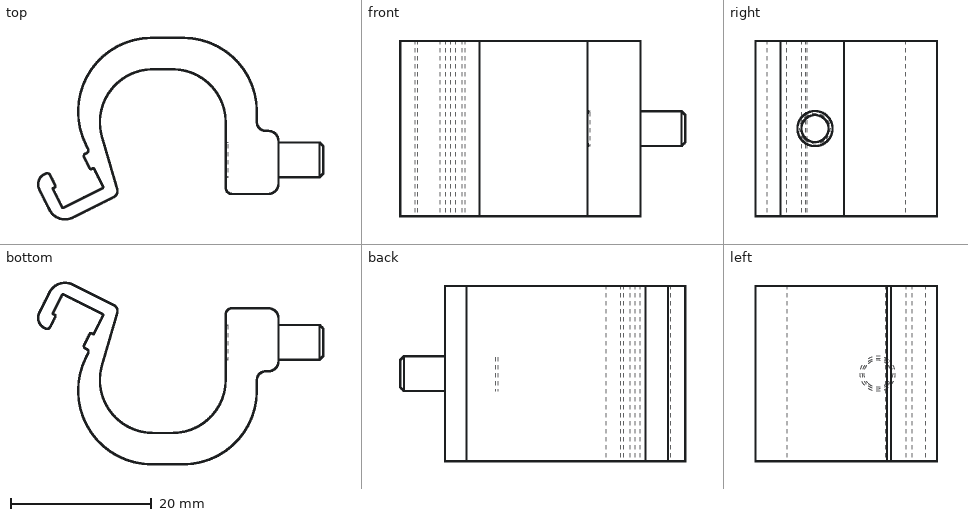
import cadquery as cq
import math

height = 25.0
inner_radius = 7.5
inner_flat_half = 1.42
inner_wall_x = inner_flat_half + inner_radius
outer_radius = 10.52
outer_left_center_x = -1.55
outer_right_center_x = 2.9
outer_top_y = 12.02
outer_center_y = outer_top_y - outer_radius
outer_right_x = outer_right_center_x + outer_radius
leg_angle = math.radians(16.3)

block_right_x = 16.5
block_top_y = -1.2
block_bottom_y = -10.25
block_fillet = 1.5
block_inner_fillet = 0.95
block_root_fillet = 1.2

channel_angle = math.radians(26.6)
channel_x = -14.25
channel_y = -12.23
channel_width = 6.5
floor_thickness = 1.85
arm_thickness = 1.8
lip_depth = 0.53
lip_start_v = 3.13
lip_top_v = 5.5
channel_corner_fillet = 2.48
leg_corner_fillet = 0.97
tip_outer_fillet = 1.62
tip_inner_fillet = 0.5
catch_fillet = 0.35
small_fillet = 0.15

pin_diameter = 5.0
pin_y = -5.35
pin_end_x = 22.85
pin_chamfer = 0.55
ring_groove_size = 0.32


def channel_point(u, v):
    """Convert channel coordinates to the XY plane."""
    x = channel_x + u * math.cos(channel_angle) - v * math.sin(channel_angle)
    y = channel_y + u * math.sin(channel_angle) + v * math.cos(channel_angle)
    return x, y


def on_circle(center_x, center_y, radius, angle):
    return center_x + radius * math.cos(angle), center_y + radius * math.sin(angle)


leg_start = on_circle(-inner_flat_half, 0, inner_radius, math.pi + leg_angle)
inner_left_mid = on_circle(-inner_flat_half, 0, inner_radius, (1.5 * math.pi + leg_angle) / 2)
inner_right_mid = on_circle(inner_flat_half, 0, inner_radius, math.pi / 4)
outer_right_mid = on_circle(outer_right_center_x, outer_center_y, outer_radius, math.pi / 4)

floor_left = channel_point(0, -floor_thickness)
floor_slope = math.tan(channel_angle)
leg_slope = -1 / math.tan(leg_angle)
leg_corner_x = (
    floor_left[1] - leg_start[1] + leg_slope * leg_start[0] - floor_slope * floor_left[0]
) / (leg_slope - floor_slope)
leg_corner = (leg_corner_x, leg_start[1] + leg_slope * (leg_corner_x - leg_start[0]))

offset_x = outer_left_center_x - channel_x
offset_y = outer_center_y - channel_y
center_u = offset_x * math.cos(channel_angle) + offset_y * math.sin(channel_angle)
catch_root = channel_point(center_u - outer_radius, lip_top_v)
outer_left_end = on_circle(outer_left_center_x, outer_center_y, outer_radius, math.pi + channel_angle)
outer_left_mid = on_circle(
    outer_left_center_x, outer_center_y, outer_radius, (1.5 * math.pi + channel_angle) / 2
)

channel_corner = channel_point(-arm_thickness, -floor_thickness)
tip_outer = channel_point(-arm_thickness, lip_top_v)
tip_inner = channel_point(lip_depth, lip_top_v)
lip_corner = channel_point(lip_depth, lip_start_v)
floor_inner_left = channel_point(0, 0)
floor_inner_right = channel_point(channel_width, 0)
catch_bottom = channel_point(channel_width - lip_depth, lip_start_v)
catch_top = channel_point(channel_width - lip_depth, lip_top_v)
block_root = (outer_right_x, block_top_y)
block_top_right = (block_right_x, block_top_y)
block_bottom_right = (block_right_x, block_bottom_y)
block_bottom_left = (inner_wall_x, block_bottom_y)

corner_fillets = [
    (channel_corner, channel_corner_fillet),
    (leg_corner, leg_corner_fillet),
    (tip_outer, tip_outer_fillet),
    (tip_inner, tip_inner_fillet),
    (lip_corner, small_fillet),
    (floor_inner_left, small_fillet),
    (floor_inner_right, small_fillet),
    (catch_bottom, small_fillet),
    (catch_top, catch_fillet),
    (catch_root, catch_fillet),
    (block_root, block_root_fillet),
    (block_top_right, block_fillet),
    (block_bottom_right, block_fillet),
    (block_bottom_left, block_inner_fillet),
]


def make_body():
    """Extrude the clip outline and round its corners."""
    body = (
        cq.Workplane("XY")
        .workplane(offset=-height / 2)
        .moveTo(*leg_start)
        .threePointArc(inner_left_mid, (-inner_flat_half, inner_radius))
        .lineTo(inner_flat_half, inner_radius)
        .threePointArc(inner_right_mid, (inner_wall_x, 0))
        .lineTo(*block_bottom_left)
        .lineTo(*block_bottom_right)
        .lineTo(*block_top_right)
        .lineTo(*block_root)
        .lineTo(outer_right_x, outer_center_y)
        .threePointArc(outer_right_mid, (outer_right_center_x, outer_top_y))
        .lineTo(outer_left_center_x, outer_top_y)
        .threePointArc(outer_left_mid, outer_left_end)
        .lineTo(*catch_root)
        .lineTo(*catch_top)
        .lineTo(*catch_bottom)
        .lineTo(*channel_point(channel_width, lip_start_v))
        .lineTo(*floor_inner_right)
        .lineTo(*floor_inner_left)
        .lineTo(*channel_point(0, lip_start_v))
        .lineTo(*lip_corner)
        .lineTo(*tip_inner)
        .lineTo(*tip_outer)
        .lineTo(*channel_corner)
        .lineTo(*leg_corner)
        .close()
        .extrude(height)
    )
    for (x, y), radius in corner_fillets:
        edge = body.edges("|Z").edges(cq.selectors.NearestToPointSelector((x, y, 0)))
        body = edge.fillet(radius)
    return body


def make_pin():
    """Pin pointing along +X, starting at the inner wall, with a chamfered free end."""
    return (
        cq.Workplane("YZ", origin=(inner_wall_x, pin_y, 0))
        .circle(pin_diameter / 2)
        .extrude(pin_end_x - inner_wall_x)
        .faces(">X")
        .chamfer(pin_chamfer)
    )


def make_ring_groove():
    """Fine V-shaped ring around the pin end in the inner wall."""
    pin_radius = pin_diameter / 2
    return (
        cq.Workplane("XY", origin=(inner_wall_x, pin_y, 0))
        .moveTo(0, pin_radius)
        .lineTo(0, pin_radius - ring_groove_size)
        .lineTo(ring_groove_size, pin_radius)
        .close()
        .revolve(360, (0, 0, 0), (1, 0, 0))
    )


result = make_body().union(make_pin()).cut(make_ring_groove())